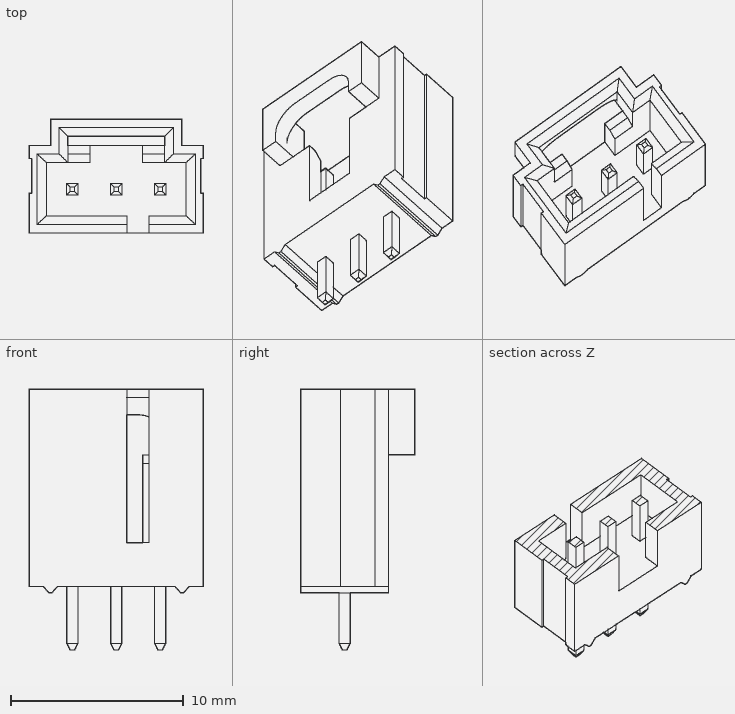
import cadquery as cq


body_width = 10.08
body_depth = 5.08
body_height = 11.43
floor_height = 2.54
wall = 1.0
front_y = -2.54
rear_y = front_y + body_depth

box_width = 7.6
box_projection = 1.52
box_height = 3.81
box_bottom_z = body_height - box_height
box_rear_y = rear_y + box_projection

bevel_height = 0.5
end_bevel = 0.54
bevel = 0.5

box_window_drop = 1.5
box_window_radius = 1.5
rear_slot_width = 3.06
front_slot_width = 1.27
front_slot_x = 1.25

groove_depth = 0.15
groove_width = 2.0
groove_y = 0.77

ridge_x = 3.81
ridge_height = 0.37
ridge_base_width = 0.82
ridge_tip_width = 0.16

pin_count = 3
pin_pitch = 2.54
pin_size = 0.66
pin_tip_size = 0.26
pin_tip_length = 0.4
pin_tail_length = 3.68
pin_contact_height = 6.0

inner_width = body_width - 2 * wall
box_inner_width = box_width - 2 * wall
inner_front_y = front_y + wall
inner_rear_y = rear_y - wall
box_inner_rear_y = box_rear_y - wall


def block(x_range, y_range, z_range):
    """Axis-aligned box between the given limits."""
    return (
        cq.Workplane("XY")
        .box(
            x_range[1] - x_range[0],
            y_range[1] - y_range[0],
            z_range[1] - z_range[0],
            centered=False,
        )
        .translate((x_range[0], y_range[0], z_range[0]))
    )


def centred_block(width, y_range, z_range):
    """Axis-aligned box that is symmetric about the YZ plane."""
    return block((-width / 2, width / 2), y_range, z_range)


def flared_pocket(width, y_range, bottom_z, side_bevel):
    """Rectangular pocket whose mouth widens over the bevel height."""
    bevel_z = body_height - bevel_height
    depth = y_range[1] - y_range[0]
    mid_y = (y_range[0] + y_range[1]) / 2
    mouth = (
        cq.Workplane("XY", origin=(0, mid_y, bevel_z))
        .rect(width, depth)
        .workplane(offset=bevel_height)
        .rect(width + 2 * side_bevel, depth + 2 * bevel)
        .loft(ruled=True)
    )
    return centred_block(width, y_range, (bottom_z, bevel_z)).union(mouth)


def housing_blank():
    body = centred_block(body_width, (front_y, rear_y), (0, body_height))
    box = centred_block(box_width, (inner_rear_y, box_rear_y), (box_bottom_z, body_height))
    return body.union(box)


def cavity():
    main = flared_pocket(inner_width, (inner_front_y, inner_rear_y), floor_height, end_bevel)
    box = flared_pocket(box_inner_width, (inner_front_y, box_inner_rear_y), box_bottom_z, bevel)
    return main.union(box)


def box_window():
    """Opening through the rear wall of the box, with rounded upper corners."""
    window = centred_block(
        box_inner_width,
        (box_inner_rear_y, box_rear_y),
        (box_bottom_z, body_height - box_window_drop),
    )
    return window.edges("|Y and >Z").fillet(box_window_radius)


def rear_post_bevels():
    """Bevel on the inner top edge of the rear wall left below the box."""
    profile = [
        (inner_rear_y, box_bottom_z),
        (inner_rear_y + bevel, box_bottom_z),
        (inner_rear_y, box_bottom_z - bevel_height),
    ]
    return (
        cq.Workplane("YZ", origin=(-box_inner_width / 2, 0, 0))
        .polyline(profile)
        .close()
        .extrude(box_inner_width)
    )


def rear_slot():
    return centred_block(rear_slot_width, (inner_rear_y, rear_y), (floor_height, box_bottom_z))


def front_slot():
    slot = centred_block(front_slot_width, (front_y, inner_front_y), (floor_height, body_height))
    return slot.translate((front_slot_x, 0, 0))


def end_groove(side):
    groove = centred_block(
        2 * groove_depth,
        (groove_y - groove_width / 2, groove_y + groove_width / 2),
        (0, body_height),
    )
    return groove.translate((side * body_width / 2, 0, 0))


def ridge(side):
    """Blunt V-shaped ridge across the full depth of the underside."""
    profile = [
        (-ridge_base_width / 2, 0),
        (ridge_base_width / 2, 0),
        (ridge_tip_width / 2, -ridge_height),
        (-ridge_tip_width / 2, -ridge_height),
    ]
    return (
        cq.Workplane("XZ", origin=(side * ridge_x, rear_y, 0))
        .polyline(profile)
        .close()
        .extrude(body_depth)
    )


def pin_tip(start_z, direction):
    """Tapered pin end that narrows from start_z along the given Z direction."""
    return (
        cq.Workplane("XY", origin=(0, 0, start_z))
        .rect(pin_size, pin_size)
        .workplane(offset=direction * pin_tip_length)
        .rect(pin_tip_size, pin_tip_size)
        .loft(ruled=True)
    )


def pin():
    lower_z = pin_tip_length - pin_tail_length
    upper_z = floor_height + pin_contact_height - pin_tip_length
    half_size = pin_size / 2
    shank = centred_block(pin_size, (-half_size, half_size), (lower_z, upper_z))
    return shank.union(pin_tip(lower_z, -1)).union(pin_tip(upper_z, 1))


result = housing_blank().cut(cavity())
result = result.cut(box_window()).cut(rear_post_bevels())
result = result.cut(rear_slot()).cut(front_slot())
for side in (-1, 1):
    result = result.cut(end_groove(side)).union(ridge(side))
for index in range(pin_count):
    pin_x = (index - (pin_count - 1) / 2) * pin_pitch
    result = result.union(pin().translate((pin_x, 0, 0)))